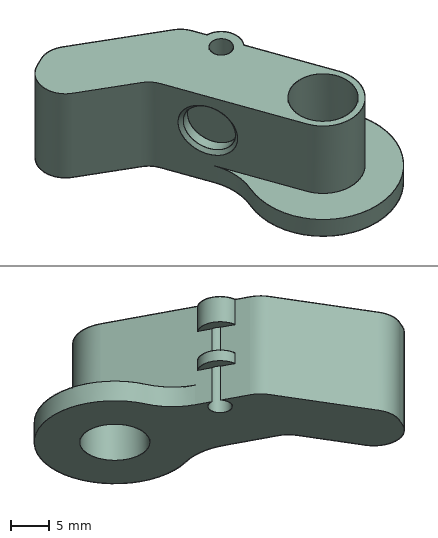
import cadquery as cq
import math

body_height = 15.0
arm_half_width = 5.5
bore_diameter = 9.2

left_face_x = -37.05
bend_x = -22.05
leg_angle = math.radians(35)
corner_radius = 4.0

flange_radius = 10.55
flange_thickness = 3.0
flange_blend_radius = 9.0

knuckle_x = -16.05
knuckle_y = 4.05
knuckle_radius = 3.0
pin_hole_diameter = 3.2
knuckle_spans = [(5.2, 6.8), (11.15, body_height)]

pocket_x = -14.05
pocket_z = 9.0
pocket_diameter = 7.4
pocket_depth = 2.0
pocket_chamfer = 0.5


def make_arm():
    """Straight arm with a round end, bent into a leg of the same width along Y."""
    leg_drop = (bend_x - left_face_x) * math.tan(leg_angle)
    arm = (
        cq.Workplane("XY")
        .moveTo(0, arm_half_width)
        .lineTo(bend_x, arm_half_width)
        .lineTo(left_face_x, arm_half_width - leg_drop)
        .lineTo(left_face_x, -arm_half_width - leg_drop)
        .lineTo(bend_x, -arm_half_width)
        .lineTo(0, -arm_half_width)
        .threePointArc((arm_half_width, 0), (0, arm_half_width))
        .close()
        .extrude(body_height)
    )
    margin = 0.48
    leg_corners = cq.selectors.BoxSelector(
        (left_face_x - margin, -arm_half_width - leg_drop - margin, 0),
        (bend_x + margin, arm_half_width + margin, body_height),
    )
    return arm.edges("|Z").edges(leg_corners).fillet(corner_radius)


def make_flange():
    """Disc whose rim sweeps tangentially into both sides of the arm."""
    blend_y = arm_half_width + flange_blend_radius
    centre_distance = flange_radius + flange_blend_radius
    blend_x = -math.sqrt(centre_distance**2 - blend_y**2)
    joint_x = blend_x * flange_radius / centre_distance
    joint_y = blend_y * flange_radius / centre_distance

    joint_direction = math.atan2(-blend_y, -blend_x)
    middle_direction = (joint_direction - math.pi / 2) / 2
    middle_x = blend_x + flange_blend_radius * math.cos(middle_direction)
    middle_y = blend_y + flange_blend_radius * math.sin(middle_direction)

    return (
        cq.Workplane("XY")
        .moveTo(blend_x, -arm_half_width)
        .threePointArc((middle_x, -middle_y), (joint_x, -joint_y))
        .threePointArc((flange_radius, 0), (joint_x, joint_y))
        .threePointArc((middle_x, middle_y), (blend_x, arm_half_width))
        .close()
        .extrude(flange_thickness)
    )


def make_knuckle(bottom, top):
    return (
        cq.Workplane("XY", origin=(knuckle_x, knuckle_y, bottom))
        .circle(knuckle_radius)
        .extrude(top - bottom)
    )


def make_vertical_hole(x, y, diameter):
    return cq.Workplane("XY").center(x, y).circle(diameter / 2).extrude(body_height)


def make_pocket():
    """Blind cylinder with a conical mouth, cut inward from the front face."""
    mouth_radius = pocket_diameter / 2 + pocket_chamfer
    front = cq.Workplane("XZ", origin=(pocket_x, -arm_half_width, pocket_z))
    cylinder = front.circle(pocket_diameter / 2).extrude(-pocket_depth)
    mouth = cq.Workplane(
        cq.Solid.makeCone(
            mouth_radius,
            pocket_diameter / 2,
            pocket_chamfer,
            pnt=cq.Vector(pocket_x, -arm_half_width, pocket_z),
            dir=cq.Vector(0, 1, 0),
        )
    )
    return cylinder.union(mouth)


result = make_arm().union(make_flange())
for span_bottom, span_top in knuckle_spans:
    result = result.union(make_knuckle(span_bottom, span_top))
result = result.cut(make_vertical_hole(0, 0, bore_diameter))
result = result.cut(make_vertical_hole(knuckle_x, knuckle_y, pin_hole_diameter))
result = result.cut(make_pocket())